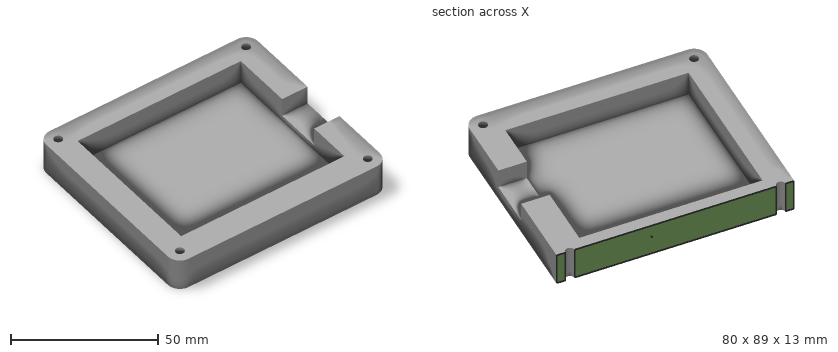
import cadquery as cq

length_x = 80.0
length_y = 89.0
height = 13.0
corner_radius = 5.0

hole_diameter = 3.4

pocket_wall = 9.7
pocket_x = 59.6
pocket_y = 68.6
pocket_depth = 10.0

notch_start = 33.55
notch_width = 18.4
notch_depth = 7.65


def make_block():
    """Flat block with rounded vertical corners, one corner at the origin."""
    block = cq.Workplane("XY").box(length_x, length_y, height, centered=False)
    return block.edges("|Z").fillet(corner_radius)


def cut_from_top(x, y, size_x, size_y, depth):
    """Box that reaches down from the top face by the given depth."""
    box = cq.Workplane("XY").box(size_x, size_y, depth, centered=False)
    return box.translate((x, y, height - depth))


def make_holes():
    """Four through holes, one at each corner centre."""
    centres = [
        (x, y)
        for x in (corner_radius, length_x - corner_radius)
        for y in (corner_radius, length_y - corner_radius)
    ]
    return cq.Workplane("XY").pushPoints(centres).circle(hole_diameter / 2).extrude(height)


pocket = cut_from_top(pocket_wall, pocket_wall, pocket_x, pocket_y, pocket_depth)

pocket_end_y = pocket_wall + pocket_y
rim_width = length_y - pocket_end_y
notch = cut_from_top(notch_start, pocket_end_y, notch_width, rim_width, notch_depth)

result = make_block().cut(pocket).cut(notch).cut(make_holes())